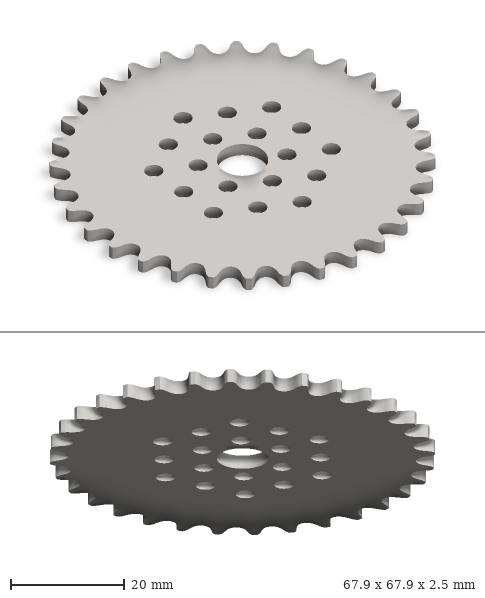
import cadquery as cq
import math

THICKNESS = 2.5
OUTER_RADIUS = 34.097
TOOTH_COUNT = 32
CHAIN_PITCH = 6.35
ROLLER_DIAMETER = 3.302
BORE_DIAMETER = 9.1
HOLE_DIAMETER = 3.4
HOLE_SPACING = 8.0
HOLE_RINGS = 2

SEAT_CLEARANCE = 0.0762
SEAT_RADIUS = (1.005 * ROLLER_DIAMETER + SEAT_CLEARANCE) / 2
SEAT_ANGLE = math.radians(35 + 60 / TOOTH_COUNT)
WORKING_ANGLE = math.radians(18 - 56 / TOOTH_COUNT)
WORKING_CENTRE_DISTANCE = 0.8 * ROLLER_DIAMETER
TOPPING_CENTRE_DISTANCE = 1.4 * ROLLER_DIAMETER

PITCH_ANGLE = 2 * math.pi / TOOTH_COUNT
PITCH_RADIUS = CHAIN_PITCH / (2 * math.sin(PITCH_ANGLE / 2))
ROOT_RADIUS = PITCH_RADIUS - SEAT_RADIUS


def polar(radius, angle):
    return (radius * math.cos(angle), radius * math.sin(angle))


def offset(point, distance, angle):
    """The point moved by a distance in the direction of an angle."""
    step_x, step_y = polar(distance, angle)
    return (point[0] + step_x, point[1] + step_y)


def rotated(point, angle):
    """The point turned about the sprocket axis."""
    return polar(math.hypot(*point), math.atan2(point[1], point[0]) + angle)


def mirrored(point):
    """The point reflected in the X axis."""
    return (point[0], -point[1])


def flank_points():
    """Points up the +Y flank of the gap on the +X axis, from the seat arc to the tooth tip."""
    seat_centre = (PITCH_RADIUS, 0)
    seat_end_direction = math.pi / 2 + SEAT_ANGLE
    working_centre = offset(seat_centre, -WORKING_CENTRE_DISTANCE, seat_end_direction)
    working_radius = WORKING_CENTRE_DISTANCE + SEAT_RADIUS
    seat_end = offset(seat_centre, SEAT_RADIUS, seat_end_direction)

    working_mid = offset(working_centre, working_radius, seat_end_direction - WORKING_ANGLE / 2)
    normal_direction = seat_end_direction - WORKING_ANGLE
    line_direction = normal_direction - math.pi / 2
    working_end = offset(working_centre, working_radius, normal_direction)

    topping_centre = offset(seat_centre, TOPPING_CENTRE_DISTANCE, math.pi / 2 + PITCH_ANGLE / 2)
    gap_x = topping_centre[0] - working_end[0]
    gap_y = topping_centre[1] - working_end[1]
    line_x, line_y = polar(1, line_direction)
    normal_x, normal_y = polar(1, normal_direction)
    line_length = gap_x * line_x + gap_y * line_y
    topping_radius = gap_x * normal_x + gap_y * normal_y
    line_end = offset(working_end, line_length, line_direction)

    centre_radius = math.hypot(*topping_centre)
    centre_angle = math.atan2(topping_centre[1], topping_centre[0])
    cosine = (centre_radius**2 + OUTER_RADIUS**2 - topping_radius**2) / (2 * centre_radius * OUTER_RADIUS)
    tip_corner = polar(OUTER_RADIUS, centre_angle - math.acos(cosine))
    chord_mid_x = (line_end[0] + tip_corner[0]) / 2 - topping_centre[0]
    chord_mid_y = (line_end[1] + tip_corner[1]) / 2 - topping_centre[1]
    topping_mid = offset(topping_centre, topping_radius, math.atan2(chord_mid_y, chord_mid_x))
    return seat_end, working_mid, working_end, line_end, topping_mid, tip_corner


def make_toothed_disc():
    rising_flank = flank_points()
    falling_flank = [mirrored(point) for point in reversed(rising_flank)]
    seat_start = falling_flank[-1]
    outline = cq.Workplane("XY").moveTo(*seat_start)
    for tooth in range(TOOTH_COUNT):
        gap_angle = PITCH_ANGLE * tooth
        next_gap_angle = gap_angle + PITCH_ANGLE

        seat_end, working_mid, working_end, line_end, topping_mid, tip_corner = [
            rotated(point, gap_angle) for point in rising_flank
        ]
        outline = outline.threePointArc(polar(ROOT_RADIUS, gap_angle), seat_end)
        outline = outline.threePointArc(working_mid, working_end)
        outline = outline.lineTo(*line_end)
        outline = outline.threePointArc(topping_mid, tip_corner)

        tip_corner, topping_mid, line_end, working_end, working_mid, seat_end = [
            rotated(point, next_gap_angle) for point in falling_flank
        ]
        outline = outline.threePointArc(polar(OUTER_RADIUS, gap_angle + PITCH_ANGLE / 2), tip_corner)
        outline = outline.threePointArc(topping_mid, line_end)
        outline = outline.lineTo(*working_end)
        outline = outline.threePointArc(working_mid, seat_end)
    return outline.close().extrude(THICKNESS)


def hole_centres():
    """Triangular grid filling a hexagon, except its centre, where the bore is."""
    row_spacing = HOLE_SPACING * math.sqrt(3) / 2
    centres = []
    for row in range(-HOLE_RINGS, HOLE_RINGS + 1):
        holes_in_row = 2 * HOLE_RINGS + 1 - abs(row)
        for column in range(holes_in_row):
            x = (column - (holes_in_row - 1) / 2) * HOLE_SPACING
            y = row * row_spacing
            if (x, y) != (0, 0):
                centres.append((x, y))
    return centres


def make_hole_cutters():
    bore = cq.Workplane("XY").circle(BORE_DIAMETER / 2).extrude(THICKNESS)
    holes = cq.Workplane("XY").pushPoints(hole_centres()).circle(HOLE_DIAMETER / 2).extrude(THICKNESS)
    return bore.add(holes).combine()


result = make_toothed_disc().cut(make_hole_cutters())